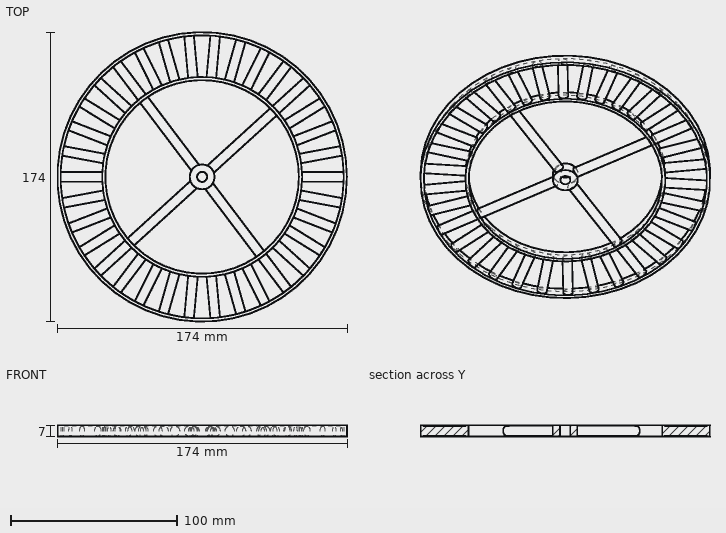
import cadquery as cq

height = 7.0
outer_diameter = 174.0
outer_ring_bore = 170.0
inner_ring_diameter = 120.0
inner_ring_bore = 116.0
hub_diameter = 15.0
hub_bore = 6.0

bar_diameter = 6.0
bar_count = 34
bar_pitch_angle = 360 / bar_count
spoke_positions = (4, 12, 21, 29)


def ring(outside, inside):
    """Full-height ring standing on the XY plane."""
    return cq.Workplane("XY").circle(outside / 2).circle(inside / 2).extrude(height)


def radial_bar(start_diameter, end_diameter, position):
    """Round bar between the middles of two ring walls, turned to its position."""
    start_radius = start_diameter / 2
    end_radius = end_diameter / 2
    bar = (
        cq.Workplane("YZ", origin=(start_radius, 0, height / 2))
        .circle(bar_diameter / 2)
        .extrude(end_radius - start_radius)
    )
    return bar.rotate((0, 0, 0), (0, 0, 1), position * bar_pitch_angle)


outer_wall_middle = (outer_diameter + outer_ring_bore) / 2
inner_wall_middle = (inner_ring_diameter + inner_ring_bore) / 2
hub_wall_middle = (hub_diameter + hub_bore) / 2

result = ring(outer_diameter, outer_ring_bore)
result = result.union(ring(inner_ring_diameter, inner_ring_bore))
result = result.union(ring(hub_diameter, hub_bore))

for position in range(bar_count):
    inner_end = hub_wall_middle if position in spoke_positions else inner_wall_middle
    result = result.union(radial_bar(inner_end, outer_wall_middle, position))